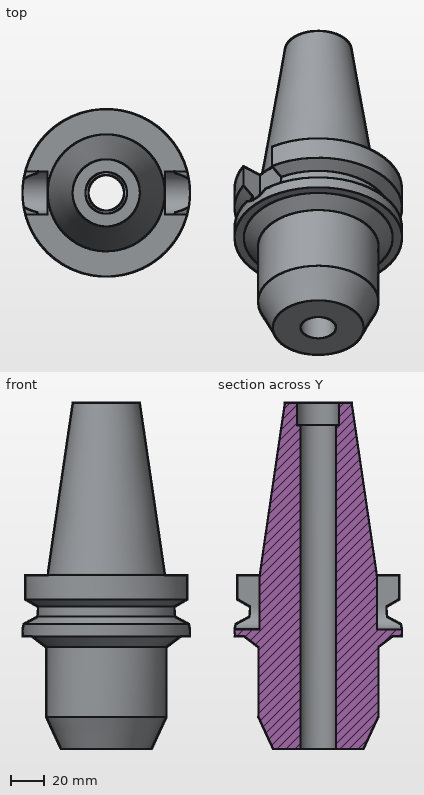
import cadquery as cq

total_height = 206.8
nose_cone_top = 19.2
shank_top = 60.8
lower_rim_bottom = 67.2
lower_rim_top = 74.7
groove_bottom = 79.0
groove_top = 85.0
upper_rim_bottom = 89.3
flange_top = 103.8
taper_base = 105.0

nose_radius = 27.0
shank_radius = 36.0
flange_underside_radius = 44.5
flange_radius = 50.0
groove_radius = 42.8
taper_base_radius = 35.0
taper_tip_radius = 20.0

bore_radius = 10.5
counterbore_radius = 12.5
counterbore_depth = 13.5

slot_width = 25.6
slot_floor_x = 35.2
slot_bottom = 71.5


def make_body():
    """Solid of revolution about Z: nose, shank, grooved flange and taper."""
    profile = [
        (0, 0),
        (nose_radius, 0),
        (shank_radius, nose_cone_top),
        (shank_radius, shank_top),
        (flange_underside_radius, lower_rim_bottom),
        (flange_radius, lower_rim_bottom),
        (flange_radius, lower_rim_top),
        (groove_radius, groove_bottom),
        (groove_radius, groove_top),
        (flange_radius, upper_rim_bottom),
        (flange_radius, flange_top),
        (taper_base_radius, flange_top),
        (taper_base_radius, taper_base),
        (taper_tip_radius, total_height),
        (0, total_height),
    ]
    return cq.Workplane("XZ").polyline(profile).close().revolve(360, (0, 0), (0, 1))


def cut_bore(body):
    """Drill through along Z and counterbore the taper end."""
    return body.faces(">Z").workplane().cboreHole(
        2 * bore_radius, 2 * counterbore_radius, counterbore_depth
    )


def drive_slot(side):
    """Round-bottomed slot cutter, open at the flange top; side is -1 or +1."""
    half_width = slot_width / 2
    arc_center = slot_bottom + half_width
    return (
        cq.Workplane("YZ", origin=(side * slot_floor_x, 0, 0))
        .moveTo(-half_width, flange_top)
        .lineTo(-half_width, arc_center)
        .threePointArc((0, slot_bottom), (half_width, arc_center))
        .lineTo(half_width, flange_top)
        .close()
        .extrude(side * flange_radius)
    )


result = cut_bore(make_body())
for slot_side in (-1, 1):
    result = result.cut(drive_slot(slot_side))